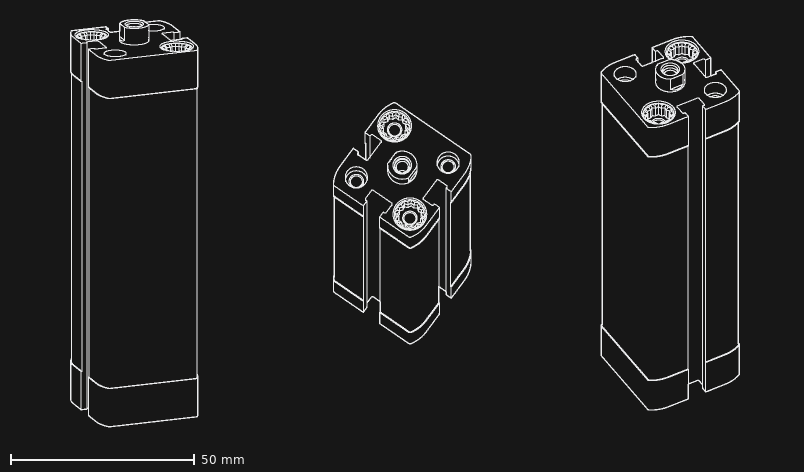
import cadquery as cq
import math

TOTAL_HEIGHT = 109.7
CAP_WIDTH = 29.0
BODY_HEIGHT = 105.0
CAP_HEIGHT = 11.0
TUBE_INSET = 0.2

HALF_WIDTH = CAP_WIDTH / 2
SHOULDER_RADIUS = 10.0
CORNER_FILLET = 0.8

SLOT_OPENING = 5.5
SLOT_INNER_WIDTH = 6.9
SLOT_FLOOR = 9.3
SLOT_LIP = 12.7
SLOT_FILLET = 0.3
SLOT_ANGLES = (0, 90, 180)

HOLE_OFFSET = 9.0
HOLE_DIAMETER = 3.3
HOLE_MOUTH_DIAMETER = 4.0
HOLE_MOUTH_CHAMFER = (HOLE_MOUTH_DIAMETER - HOLE_DIAMETER) / 2
COUNTERBORE_DIAMETER = 6.0
COUNTERBORE_DEPTH = 4.0

TOOTH_COUNT = 12
SOCKET_MOUTH_DIAMETER = 9.2
SOCKET_RIM_DIAMETER = 8.5
SOCKET_ROOT_DIAMETER = 7.0
SOCKET_TIP_DIAMETER = COUNTERBORE_DIAMETER
SOCKET_DEPTH = COUNTERBORE_DEPTH
SOCKET_RIM_DEPTH = 0.4
TOOTH_FLARE = (SOCKET_RIM_DIAMETER - SOCKET_ROOT_DIAMETER) / 2
TOOTH_FLARE_DEPTH = 0.7

ROD_DIAMETER = 8.0
ROD_SEAT_DEPTH = CAP_HEIGHT
ROD_FLAT_WIDTH = 7.0
ROD_FLAT_LENGTH = 3.7
ROD_BORE_DIAMETER = 3.3
ROD_BORE_DEPTH = 11.0
ROD_BORE_TIP_ANGLE = 118.0
ROD_MOUTH_DIAMETER = 4.2
ROD_MOUTH_DEPTH = 1.4
ROD_MOUTH_CHAMFER = 0.4
ROD_STEP_LENGTH = (ROD_MOUTH_DIAMETER - ROD_BORE_DIAMETER) / 2


def block(half_width, bottom, height):
    """Prism with flat sides and shallow arcs at the corners."""
    flat = HOLE_OFFSET
    run = half_width - flat
    arc_center = half_width - SHOULDER_RADIUS
    corner = arc_center + math.sqrt(SHOULDER_RADIUS**2 - run**2)
    mid_angle = math.asin(run / SHOULDER_RADIUS) / 2
    mid_x = flat + SHOULDER_RADIUS * math.sin(mid_angle)
    mid_y = arc_center + SHOULDER_RADIUS * math.cos(mid_angle)
    return (
        cq.Workplane("XY", origin=(0, 0, bottom))
        .moveTo(-flat, half_width)
        .lineTo(flat, half_width)
        .threePointArc((mid_x, mid_y), (half_width, corner))
        .lineTo(half_width, -corner)
        .threePointArc((mid_x, -mid_y), (flat, -half_width))
        .lineTo(-flat, -half_width)
        .threePointArc((-mid_x, -mid_y), (-half_width, -corner))
        .lineTo(-half_width, corner)
        .threePointArc((-mid_x, mid_y), (-flat, half_width))
        .close()
        .extrude(height)
        .edges("|Z and (<X or >X)")
        .fillet(CORNER_FILLET)
    )


def box_between(width, near, far):
    """Full-height box centred on X, from near to far along Y."""
    return (
        cq.Workplane("XY")
        .center(0, (near + far) / 2)
        .rect(width, far - near)
        .extrude(BODY_HEIGHT)
    )


def t_slot(angle):
    """Cutter for one undercut slot, turned about Z from the +Y side."""
    undercut = box_between(SLOT_INNER_WIDTH, SLOT_FLOOR, SLOT_LIP).edges("|Z").fillet(SLOT_FILLET)
    opening = box_between(SLOT_OPENING, (SLOT_FLOOR + SLOT_LIP) / 2, CAP_WIDTH)
    return undercut.union(opening).rotate((0, 0, 0), (0, 0, 1), angle)


def screw_hole(x, y, floor_depth):
    """Cutter for a stepped through hole whose step lies floor_depth below the top."""
    floor = BODY_HEIGHT - floor_depth
    through = cq.Workplane("XY").circle(HOLE_DIAMETER / 2).extrude(BODY_HEIGHT)
    mouth = cone(HOLE_MOUTH_DIAMETER, HOLE_DIAMETER, floor, HOLE_MOUTH_CHAMFER)
    recess = cq.Workplane("XY", origin=(0, 0, floor)).circle(COUNTERBORE_DIAMETER / 2).extrude(floor_depth)
    return through.union(mouth).union(recess).translate((x, y, 0))


def cone(top_diameter, bottom_diameter, top, depth):
    """Conical frustum that narrows downward from the height top."""
    solid = cq.Solid.makeCone(
        bottom_diameter / 2, top_diameter / 2, depth, cq.Vector(0, 0, top - depth)
    )
    return cq.Workplane(solid)


def polar(radius, angle):
    """Point at a radius and an angle in degrees."""
    return (radius * math.cos(math.radians(angle)), radius * math.sin(math.radians(angle)))


def star(growth):
    """Points of the toothed outline, moved outward by growth."""
    half_pitch = 180 / TOOTH_COUNT
    outline = []
    for i in range(TOOTH_COUNT):
        root_angle = 2 * i * half_pitch
        outline.append(polar(SOCKET_ROOT_DIAMETER / 2 + growth, root_angle))
        outline.append(polar(SOCKET_TIP_DIAMETER / 2 + growth, root_angle + half_pitch))
    return outline


def tooth_socket(x, y):
    """Cutter for a socket whose pointed teeth flare out toward a conical rim."""
    teeth = (
        cq.Workplane("XY", origin=(0, 0, BODY_HEIGHT - SOCKET_DEPTH))
        .polyline(star(0))
        .close()
        .extrude(SOCKET_DEPTH)
    )
    flare_bottom = BODY_HEIGHT - SOCKET_RIM_DEPTH - TOOTH_FLARE_DEPTH
    flare = (
        cq.Workplane("XY", origin=(0, 0, flare_bottom))
        .polyline(star(0))
        .close()
        .workplane(offset=TOOTH_FLARE_DEPTH)
        .polyline(star(TOOTH_FLARE))
        .close()
        .loft(ruled=True)
    )
    rim = cone(SOCKET_MOUTH_DIAMETER, SOCKET_RIM_DIAMETER, BODY_HEIGHT, SOCKET_RIM_DEPTH)
    return teeth.union(flare).union(rim).translate((x, y, 0))


def make_housing():
    """Tube with two slightly larger end caps, slots, screw holes and the rod seat."""
    housing = block(HALF_WIDTH - TUBE_INSET, CAP_HEIGHT, BODY_HEIGHT - 2 * CAP_HEIGHT)
    for bottom in (0, BODY_HEIGHT - CAP_HEIGHT):
        housing = housing.union(block(HALF_WIDTH, bottom, CAP_HEIGHT))
    for angle in SLOT_ANGLES:
        housing = housing.cut(t_slot(angle))
    for side in (-1, 1):
        place = side * HOLE_OFFSET
        housing = housing.cut(screw_hole(place, -place, COUNTERBORE_DEPTH))
        housing = housing.cut(screw_hole(place, place, SOCKET_DEPTH))
        housing = housing.cut(tooth_socket(place, place))
    seat = (
        cq.Workplane("XY", origin=(0, 0, BODY_HEIGHT - ROD_SEAT_DEPTH))
        .circle(ROD_DIAMETER / 2)
        .extrude(ROD_SEAT_DEPTH)
    )
    return housing.cut(seat)


def rod_flat(side):
    """Cutter for one wrench flat that runs out at 45 degrees."""
    inner = side * ROD_FLAT_WIDTH / 2
    outer = side * ROD_DIAMETER
    bottom = TOTAL_HEIGHT - ROD_FLAT_LENGTH
    run_out = ROD_DIAMETER - ROD_FLAT_WIDTH / 2
    return (
        cq.Workplane("YZ", origin=(-ROD_DIAMETER / 2, 0, 0))
        .polyline(
            [(inner, TOTAL_HEIGHT), (inner, bottom), (outer, bottom - run_out), (outer, TOTAL_HEIGHT)]
        )
        .close()
        .extrude(ROD_DIAMETER)
    )


def rod_bore():
    """Cutter for the stepped blind bore with a drill-point bottom."""
    radius = ROD_BORE_DIAMETER / 2
    mouth_radius = ROD_MOUTH_DIAMETER / 2
    tip = radius / math.tan(math.radians(ROD_BORE_TIP_ANGLE / 2))
    step = TOTAL_HEIGHT - ROD_MOUTH_DEPTH
    bottom = TOTAL_HEIGHT - ROD_BORE_DEPTH
    profile = [
        (0, TOTAL_HEIGHT),
        (mouth_radius + ROD_MOUTH_CHAMFER, TOTAL_HEIGHT),
        (mouth_radius, TOTAL_HEIGHT - ROD_MOUTH_CHAMFER),
        (mouth_radius, step),
        (radius, step - ROD_STEP_LENGTH),
        (radius, bottom),
        (0, bottom - tip),
    ]
    return cq.Workplane("XZ").polyline(profile).close().revolve(360, (0, 0, 0), (0, 1, 0))


def make_rod():
    """Piston rod with two wrench flats and a bore in its end."""
    bottom = BODY_HEIGHT - ROD_SEAT_DEPTH
    rod = cq.Workplane("XY", origin=(0, 0, bottom)).circle(ROD_DIAMETER / 2).extrude(TOTAL_HEIGHT - bottom)
    for side in (-1, 1):
        rod = rod.cut(rod_flat(side))
    return rod.cut(rod_bore())


housing = make_housing()
rod = make_rod()
result = cq.Compound.makeCompound([housing.val(), rod.val()])